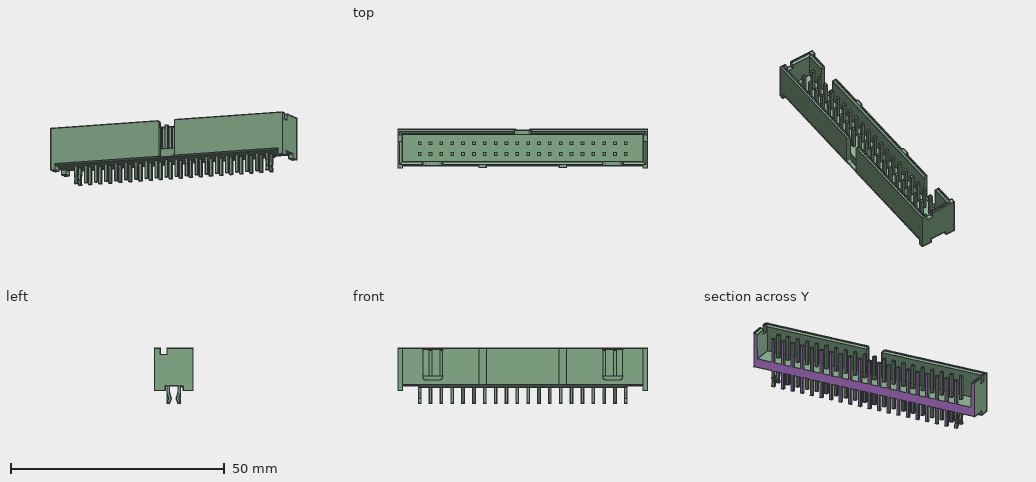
import cadquery as cq


length = 58.4
depth = 9.1
rim_z = 9.95
plate_thickness = 1.1
back_y = depth / 2
plate_front_y = -depth / 2
front_y = -4.05
inner_x = length / 2 - plate_thickness

bottom_z = 1.1
bevel_top_z = 1.45
bevel = bevel_top_z - bottom_z
ridge_z = 0.75
ridge_half_length = 24.2
ridge_inner_y = -1.7

plate_opening_front_y = -2.2
plate_opening_back_y = 2.0

floor_z = 3.45
cavity_front_y = -3.0
cavity_back_y = 3.35
draft = 0.2
lead_in_width = 0.5
lead_in_height = 0.35

slot_width = 4.6
slot_x = 21.1
slot_bottom_z = 2.5
key_width = 3.9
key_bottom_z = 1.3
opening_corner_radius = 0.65
rim_round = 0.4
end_notch_front_y = 1.65
end_notch_back_y = 3.15
end_notch_depth = 1.45

rib_x = 9.4
rib_width = 1.75
rib_front_y = -4.45

pins_per_row = 20
row_length = 48.25
pitch = row_length / (pins_per_row - 1)
pin_size = 0.65
pin_top_z = 9.35
pin_bottom_z = -3.0
kink_start_z = -0.5
kink_peak_z = -1.85
kink_offset = 0.4


def block(x_range, y_range, z_range):
    """Box between the given limits on each axis."""
    size = [high - low for low, high in (x_range, y_range, z_range)]
    corner = (x_range[0], y_range[0], z_range[0])
    return cq.Workplane("XY").box(*size, centered=False).translate(corner)


def extrude_along_x(points, half_length):
    """Prism with a (Y, Z) outline, centred on X = 0."""
    return cq.Workplane("YZ").polyline(points).close().extrude(half_length, both=True)


def housing_body():
    """Solid block with bevelled lower edges and a standing ridge under the front wall."""
    body = extrude_along_x(
        [
            (front_y, rim_z),
            (front_y, bevel_top_z),
            (front_y + bevel, bottom_z),
            (back_y - bevel, bottom_z),
            (back_y, bevel_top_z),
            (back_y, rim_z),
        ],
        length / 2,
    )
    ridge_drop = bottom_z - ridge_z
    ridge_front_y = front_y + bevel_top_z - ridge_z
    ridge = extrude_along_x(
        [
            (front_y + bevel, bottom_z),
            (ridge_front_y, ridge_z),
            (ridge_inner_y - ridge_drop, ridge_z),
            (ridge_inner_y, bottom_z),
        ],
        ridge_half_length,
    )
    return body.union(ridge)


def end_plate(side):
    """End plate with two feet; side is -1 or +1 along X."""
    x_range = sorted((side * inner_x, side * length / 2))
    plate = block(x_range, (plate_front_y, back_y), (0, rim_z))
    opening = block(x_range, (plate_opening_front_y, plate_opening_back_y), (0, bottom_z))
    return plate.cut(opening)


def cavity_frustum(low_z, low_growth, high_z, high_growth):
    """Rectangular frustum whose ends are the cavity floor outline grown on every side."""
    middle_y = (cavity_front_y + cavity_back_y) / 2
    width_y = cavity_back_y - cavity_front_y
    return (
        cq.Workplane("XY", origin=(0, middle_y, low_z))
        .rect(2 * (inner_x + low_growth), width_y + 2 * low_growth)
        .workplane(offset=high_z - low_z)
        .rect(2 * (inner_x + high_growth), width_y + 2 * high_growth)
        .loft(ruled=True)
    )


def cavity():
    """Drafted cavity with a sloping lead-in at the rim."""
    lead_in_z = rim_z - lead_in_height
    return cavity_frustum(floor_z, 0, lead_in_z, draft).union(
        cavity_frustum(lead_in_z, draft, rim_z, draft + lead_in_width)
    )


def wall_opening(center_x, width, bottom, y_range):
    """Round-cornered slot through a long wall, with its sides rounded over at the rim."""
    half = width / 2
    round_z = rim_z - rim_round
    return (
        cq.Workplane("XZ", origin=(center_x, y_range[1], 0))
        .moveTo(-half - rim_round, rim_z)
        .radiusArc((-half, round_z), rim_round)
        .lineTo(-half, bottom)
        .lineTo(half, bottom)
        .lineTo(half, round_z)
        .radiusArc((half + rim_round, rim_z), rim_round)
        .close()
        .extrude(y_range[1] - y_range[0])
        .edges("|Y and <Z")
        .fillet(opening_corner_radius)
    )


def straight_pin(x, y):
    """Square pin through the housing floor."""
    half = pin_size / 2
    return block((x - half, x + half), (y - half, y + half), (pin_bottom_z, pin_top_z))


def kinked_pin(x, y):
    """Pin whose tail bends toward the other row and back to grip the board."""
    half = pin_size / 2
    kink_y = y - kink_offset if y > 0 else y + kink_offset
    centers = [
        (y, pin_top_z),
        (y, kink_start_z),
        (kink_y, kink_peak_z),
        (y, pin_bottom_z),
    ]
    front_side = [(center - half, z) for center, z in centers]
    back_side = [(center + half, z) for center, z in reversed(centers)]
    return extrude_along_x(front_side + back_side, half).translate((x, 0, 0))


result = housing_body()
for side in (-1, 1):
    result = result.union(end_plate(side))
    rib_center = side * rib_x
    rib_range = (rib_center - rib_width / 2, rib_center + rib_width / 2)
    result = result.union(block(rib_range, (rib_front_y, front_y), (bevel_top_z, rim_z)))

result = result.cut(cavity())
for side in (-1, 1):
    result = result.cut(
        wall_opening(side * slot_x, slot_width, slot_bottom_z, (front_y, cavity_front_y))
    )
    notch_x_range = sorted((side * (inner_x - draft), side * length / 2))
    notch_z_range = (rim_z - end_notch_depth, rim_z)
    result = result.cut(block(notch_x_range, (end_notch_front_y, end_notch_back_y), notch_z_range))
result = result.cut(wall_opening(0, key_width, key_bottom_z, (cavity_back_y, back_y)))

for column in range(pins_per_row):
    pin_x = column * pitch - row_length / 2
    is_end_column = column in (0, pins_per_row - 1)
    make_pin = kinked_pin if is_end_column else straight_pin
    for row_y in (-pitch / 2, pitch / 2):
        result = result.union(make_pin(pin_x, row_y))